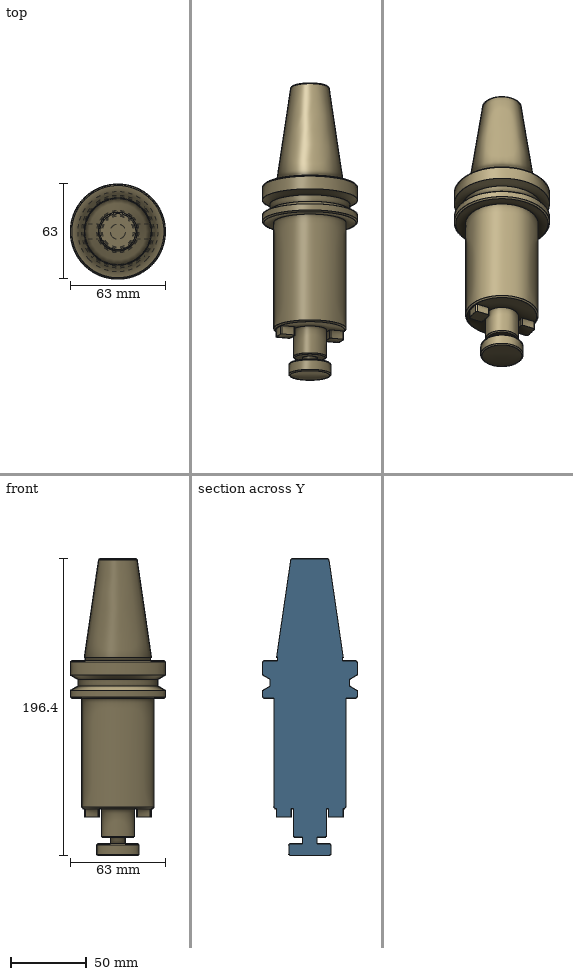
import cadquery as cq
import math


gauge_diameter = 44.45
taper_length = 65.4
taper_ratio = 7 / 24
taper_tip_chamfer = 0.8

neck_diameter = 43.4

flange_diameter = 63.0
flange_top_z = -2.0
flange_bottom_z = -27.0
flange_chamfer = 1.0
groove_center_z = -16.7
groove_mouth_width = 10.2
groove_floor_diameter = 53.0
groove_flank_angle = 30.0

body_diameter = 48.0
body_bottom_z = -100.0
body_chamfer = 1.0

pilot_diameter = 22.0
pilot_length = 19.0
pilot_chamfer = 0.8

shank_diameter = 10.0
shank_gap = 4.0
head_diameter = 28.0
head_height = 8.0
head_chamfer = 0.8

key_width = 10.0
key_inner_x = 12.2
key_outer_x = 22.2
key_height = 5.6
key_edge_chamfer = 0.8
key_embed = 2.0


def cylinder(diameter, top_z, bottom_z):
    """Solid cylinder on the Z axis."""
    return cq.Workplane("XY").workplane(offset=bottom_z).circle(diameter / 2).extrude(top_z - bottom_z)


def make_taper():
    """Cone above the gauge plane with the relief neck below it."""
    tip_diameter = gauge_diameter - taper_length * taper_ratio
    cone = (
        cq.Workplane("XY")
        .circle(gauge_diameter / 2)
        .workplane(offset=taper_length)
        .circle(tip_diameter / 2)
        .loft(ruled=True)
        .faces(">Z")
        .chamfer(taper_tip_chamfer)
    )
    return cone.union(cylinder(neck_diameter, 0, flange_top_z))


def make_flange():
    """Chamfered disc with a V-groove turned into its rim."""
    disc = cylinder(flange_diameter, flange_top_z, flange_bottom_z).faces("<Z or >Z").chamfer(flange_chamfer)
    rim_radius = flange_diameter / 2
    floor_radius = groove_floor_diameter / 2
    flank_height = (rim_radius - floor_radius) * math.tan(math.radians(groove_flank_angle))
    mouth_top_z = groove_center_z + groove_mouth_width / 2
    mouth_bottom_z = groove_center_z - groove_mouth_width / 2
    groove = (
        cq.Workplane("XZ")
        .moveTo(rim_radius, mouth_top_z)
        .lineTo(floor_radius, mouth_top_z - flank_height)
        .lineTo(floor_radius, mouth_bottom_z + flank_height)
        .lineTo(rim_radius, mouth_bottom_z)
        .close()
        .revolve(360, (0, 0, 0), (0, 1, 0))
    )
    return disc.cut(groove)


def make_body():
    """Straight body with a chamfered lower edge."""
    return cylinder(body_diameter, flange_bottom_z, body_bottom_z).faces("<Z").chamfer(body_chamfer)


def make_pilot_and_screw():
    """Cutter pilot, exposed screw shank and screw head, from top to bottom."""
    pilot_bottom_z = body_bottom_z - pilot_length
    head_top_z = pilot_bottom_z - shank_gap
    pilot = cylinder(pilot_diameter, body_bottom_z, pilot_bottom_z).faces("<Z").chamfer(pilot_chamfer)
    shank = cylinder(shank_diameter, pilot_bottom_z, head_top_z)
    head = cylinder(head_diameter, head_top_z, head_top_z - head_height)
    head = head.faces("<Z or >Z").chamfer(head_chamfer)
    return pilot.union(shank).union(head)


def make_key(side):
    """Drive key on the +X (side = 1) or -X (side = -1) half of the body end face."""
    center_x = side * (key_inner_x + key_outer_x) / 2
    return (
        cq.Workplane("XY")
        .workplane(offset=body_bottom_z - key_height)
        .center(center_x, 0)
        .rect(key_outer_x - key_inner_x, key_width)
        .extrude(key_height + key_embed)
        .edges("|Z")
        .chamfer(key_edge_chamfer)
    )


result = make_taper().union(make_flange()).union(make_body()).union(make_pilot_and_screw())
for key_side in (-1, 1):
    result = result.union(make_key(key_side))